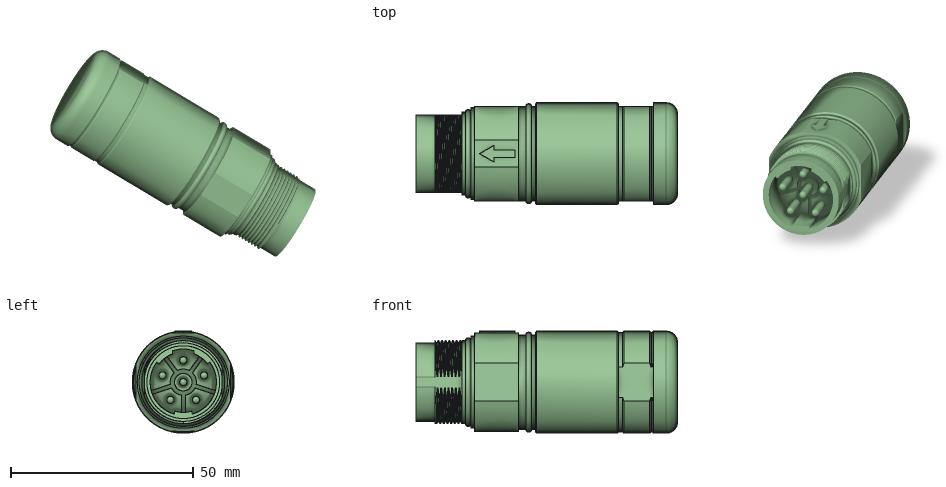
import cadquery as cq
import math


thread_start = 5.2
thread_end = 12.7
shell_length = 15.1
wrench_body_start = 16.1
wrench_body_end = 28.15
sleeve_start = 32.75
sleeve_end = 55.65
nut_start = 56.75
nut_end = 64.5
cap_start = 64.85
total_length = 71.8

insert_radius = 10.0
shell_nose_radius = 10.77
shell_flat_distance = 10.68
thread_crest_radius = 11.4
thread_root_radius = 10.8
thread_pitch = 1.0
groove_root_width = 0.25
groove_mouth_width = 0.85
first_groove = thread_start - 0.05
shell_ring_section = 0.75
shell_ring_place = shell_length - shell_ring_section

bore_radius = 9.1
bore_depth = 10.2
key_radius = 8.3
keyway_width = 5.9
bottom_key_half_angle = 16
upper_key_half_angle = 53
pin_radius = 1.0
pin_circle_radius = 6.0
pin_tip = 1.3
pin_count = 5
slot_width = 1.08
slot_depth = 1.0
hub_inner_radius = 2.4
hub_outer_radius = 3.6

outer_radius = 14.0
front_collar_radius = 12.65
neck_radius = 12.95
neck_ring_section = 0.78
neck_ring_place = 30.95
groove_radius = 13.67
side_flat_distance = 13.0
top_flat_distance = 13.5
sleeve_chamfer = 0.4
nut_chamfer = outer_radius - groove_radius
cap_chamfer_end = cap_start + nut_chamfer
cap_fillet = 3.1

arrow_tip = 17.45
arrow_head_length = 3.9
arrow_length = 9.75
arrow_head_width = 4.5
arrow_shaft_width = 1.95


def rod(radius, start, end):
    """Round bar on the X axis."""
    return cq.Workplane("YZ", origin=(start, 0, 0)).circle(radius).extrude(end - start)


def tube(outer, inner, start, end):
    return cq.Workplane("YZ", origin=(start, 0, 0)).circle(outer).circle(inner).extrude(end - start)


def block(start, end, width_y, width_z):
    """Rectangular block centred on the X axis."""
    section = cq.Workplane("YZ", origin=(start, 0, 0)).rect(width_y, width_z)
    return section.extrude(end - start)


def flat_sided_rod(radius, start, end):
    """Round bar with the shell's two flats, facing -Y and +Y."""
    return rod(radius, start, end).intersect(block(start, end, 2 * shell_flat_distance, 3 * radius))


def cut_flats(body, start, end, distance_y, distance_z):
    """Leave flats on a stretch of the body, at the given distances from its axis."""
    full_width = 3 * outer_radius
    around = block(start, end, full_width, full_width)
    return body.cut(around.cut(block(start, end, 2 * distance_y, 2 * distance_z)))


def ring(place, centre_radius, section_radius):
    """Half-round bead around the X axis."""
    section = cq.Workplane("XY").center(place, centre_radius).circle(section_radius)
    return section.revolve(360, (0, -centre_radius, 0), (1, -centre_radius, 0))


def half_turn_of_groove():
    """Half a turn of the thread groove, starting at X = 0 below the axis."""
    depth = thread_crest_radius - thread_root_radius
    overshoot = 0.1
    flank_slope = (groove_mouth_width - groove_root_width) / 2 / depth
    half_root = groove_root_width / 2
    half_mouth = half_root + flank_slope * (depth + overshoot)
    outer = depth + overshoot
    helix = cq.Wire.makeHelix(thread_pitch, thread_pitch / 2, thread_root_radius)
    groove = (
        cq.Workplane("XZ", origin=(thread_root_radius, 0, 0))
        .polyline([(0, -half_root), (outer, -half_mouth), (outer, half_mouth), (0, half_root)])
        .close()
        .sweep(cq.Workplane(obj=helix), isFrenet=True)
    )
    return groove.rotate((0, 0, 0), (0, 1, 0), 90)


def threaded_length():
    """Bar at the crest diameter, with flats and one right-handed helical groove."""
    thread = flat_sided_rod(thread_crest_radius, thread_start, thread_end)
    half_turn = half_turn_of_groove()
    advance = thread_pitch / 2
    half_turns = math.ceil((thread_end + groove_mouth_width - first_groove) / advance)
    for index in range(half_turns):
        turned = half_turn.rotate((0, 0, 0), (1, 0, 0), 180 * index)
        thread = thread.cut(turned.translate((first_groove + index * advance, 0, 0)))
    return thread


def make_shell():
    shell = flat_sided_rod(shell_nose_radius, 0, thread_start).union(threaded_length())
    shell = shell.union(rod(thread_crest_radius, thread_end, shell_length))
    shell = shell.union(ring(shell_ring_place, thread_crest_radius, shell_ring_section))
    return shell.cut(rod(insert_radius, 0, shell_length))


def key_sector(middle_angle, half_angle):
    """Wedge through the bore; the angle runs from +Y towards +Z."""
    reach = 3 * bore_radius
    edges = [math.radians(middle_angle + side * half_angle) for side in (-1, 1)]
    corners = [(reach * math.cos(a), reach * math.sin(a)) for a in edges]
    return cq.Workplane("YZ").polyline([(0, 0)] + corners).close().extrude(bore_depth)


def insert_bore():
    """Socket cavity with a keyway at the top and three inward keys."""
    keys = key_sector(90, upper_key_half_angle).union(key_sector(270, bottom_key_half_angle))
    keyway = cq.Workplane("YZ").center(0, bore_radius).rect(keyway_width, 2 * bore_radius)
    keys = keys.cut(keyway.extrude(bore_depth))
    keys = keys.intersect(tube(bore_radius, key_radius, 0, bore_depth))
    return rod(bore_radius, 0, bore_depth).cut(keys)


def floor_slots():
    """Five spokes and a ring around the hub, sunk in the floor of the socket."""
    floor_end = bore_depth + slot_depth
    slots = tube(hub_outer_radius, hub_inner_radius, bore_depth, floor_end)
    spoke_inner = (hub_inner_radius + hub_outer_radius) / 2
    spoke_length = bore_radius - spoke_inner
    for index in range(pin_count):
        spoke = (
            cq.Workplane("YZ", origin=(bore_depth, 0, 0))
            .center(0, -spoke_inner - spoke_length / 2)
            .rect(slot_width, spoke_length)
            .extrude(slot_depth)
            .rotate((0, 0, 0), (1, 0, 0), index * 360 / pin_count)
        )
        slots = slots.union(spoke)
    return slots.intersect(insert_bore().translate((slot_depth, 0, 0)))


def make_insert():
    insert = rod(insert_radius, 0, shell_length).cut(insert_bore()).cut(floor_slots())
    angles = [math.radians(90 + index * 360 / pin_count) for index in range(pin_count)]
    places = [(0, 0)]
    places += [(pin_circle_radius * math.cos(a), pin_circle_radius * math.sin(a)) for a in angles]
    dome = pin_tip + pin_radius
    root = bore_depth + 2 * slot_depth
    for y, z in places:
        tip = cq.Workplane("XY", origin=(dome, 0, 0)).sphere(pin_radius)
        pin = rod(pin_radius, dome, root).union(tip)
        insert = insert.union(pin.translate((0, y, z)))
    return insert


def housing_blank():
    """Turned outline of the housing, without beads and flats."""
    return (
        cq.Workplane("XY")
        .moveTo(shell_length, 0)
        .lineTo(shell_length, front_collar_radius)
        .lineTo(wrench_body_start, front_collar_radius)
        .lineTo(wrench_body_start, outer_radius)
        .lineTo(wrench_body_end, outer_radius)
        .lineTo(wrench_body_end, neck_radius)
        .lineTo(sleeve_start, neck_radius)
        .lineTo(sleeve_start, outer_radius - sleeve_chamfer)
        .lineTo(sleeve_start + sleeve_chamfer, outer_radius)
        .lineTo(sleeve_end - sleeve_chamfer, outer_radius)
        .lineTo(sleeve_end, outer_radius - sleeve_chamfer)
        .lineTo(sleeve_end, groove_radius)
        .lineTo(nut_start, groove_radius)
        .lineTo(nut_start + nut_chamfer, outer_radius)
        .lineTo(nut_end - nut_chamfer, outer_radius)
        .lineTo(nut_end, groove_radius)
        .lineTo(cap_start, groove_radius)
        .lineTo(cap_chamfer_end, outer_radius)
        .lineTo(total_length - cap_fillet, outer_radius)
        .radiusArc((total_length, outer_radius - cap_fillet), cap_fillet)
        .lineTo(total_length, 0)
        .close()
        .revolve(360, (0, 0, 0), (1, 0, 0))
    )


def arrow():
    half_head = arrow_head_width / 2
    half_shaft = arrow_shaft_width / 2
    head_end = arrow_tip + arrow_head_length
    tail = arrow_tip + arrow_length
    return (
        cq.Workplane("XY", origin=(0, 0, top_flat_distance))
        .moveTo(arrow_tip, 0)
        .lineTo(head_end, half_head)
        .lineTo(head_end, half_shaft)
        .lineTo(tail, half_shaft)
        .lineTo(tail, -half_shaft)
        .lineTo(head_end, -half_shaft)
        .lineTo(head_end, -half_head)
        .close()
        .extrude(outer_radius - top_flat_distance)
    )


def make_housing():
    housing = housing_blank().union(ring(neck_ring_place, neck_radius, neck_ring_section))
    housing = cut_flats(
        housing, wrench_body_start, wrench_body_end, side_flat_distance, top_flat_distance
    )
    housing = cut_flats(housing, sleeve_end, cap_chamfer_end, side_flat_distance, outer_radius)
    return housing.union(arrow())


insert = make_insert()
shell = make_shell()
housing = make_housing()

result = cq.Compound.makeCompound([insert.val(), shell.val(), housing.val()])